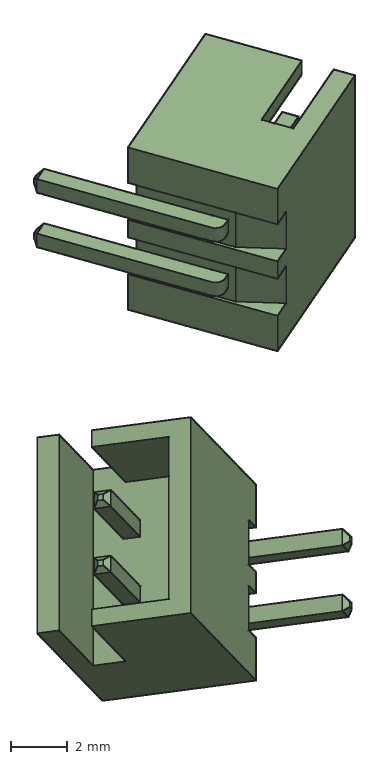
import cadquery as cq

total_length = 9.23
total_depth = 7.35
housing_height = 7.43

housing_width = 5.75
housing_front = 0.5
housing_left = total_length - housing_width

wall = 0.82
end_wall = 0.64
cavity_depth = 3.56
slot_width = 1.22

pin_count = 2
pin_pitch = 2.49
pin_size = 0.63
bend_radius = 0.37
tip_taper = 0.2
bend_side = 7.27
leg_end = 7.06

relief_height = 1.69
relief_depth = 0.76
seat_start = 6.35
seat_end = 7.57

pin_heights = [(i - (pin_count - 1) / 2) * pin_pitch for i in range(pin_count)]


def block(x_min, x_max, y_min, y_max, height, z_center=0):
    """Box given by its X and Y limits, centred on z_center."""
    length = x_max - x_min
    depth = y_max - y_min
    box = cq.Workplane("XY").box(length, depth, height, centered=(False, False, True))
    return box.translate((x_min, y_min, z_center))


def make_relief(z_center):
    """Cutter for the relief; its seat lies in the plane of the contact's back face."""
    relief_floor = housing_front + relief_depth
    outline = [
        (housing_left, housing_front),
        (housing_left, relief_floor),
        (seat_start, pin_size),
        (seat_end, pin_size),
        (total_length, relief_floor),
        (total_length, housing_front),
    ]
    profile = cq.Workplane("XY").polyline(outline).close()
    return profile.extrude(relief_height / 2, both=True).translate((0, 0, z_center))


def make_pin(z_center):
    """Bent contact with a tail along X and a leg along Y."""
    tail = block(0, bend_side, 0, pin_size, pin_size)
    tail = tail.faces("<X").chamfer(tip_taper)
    leg = block(bend_side - pin_size, bend_side, 0, leg_end, pin_size)
    leg = leg.faces(">Y").chamfer(tip_taper)
    pin = tail.union(leg)
    outer_corner = cq.selectors.NearestToPointSelector((bend_side, 0, 0))
    pin = pin.edges("|Z").edges(outer_corner).fillet(bend_radius)
    return pin.translate((0, 0, z_center))


def make_housing():
    """Open box with slotted end walls, reliefs and square holes for the contacts."""
    cavity_floor = total_depth - cavity_depth
    cavity_right = total_length - wall
    body = block(housing_left, total_length, housing_front, total_depth, housing_height)
    cavity_height = housing_height - 2 * end_wall
    body = body.cut(block(housing_left + wall, cavity_right, cavity_floor, total_depth, cavity_height))
    body = body.cut(block(cavity_right - slot_width, cavity_right, cavity_floor, total_depth, housing_height))
    for z in pin_heights:
        body = body.cut(make_relief(z))
        body = body.cut(block(bend_side - pin_size, bend_side, pin_size, cavity_floor, pin_size, z))
    return body


housing = make_housing()
pins = [make_pin(z) for z in pin_heights]

result = cq.Compound.makeCompound([housing.val(), *[pin.val() for pin in pins]])